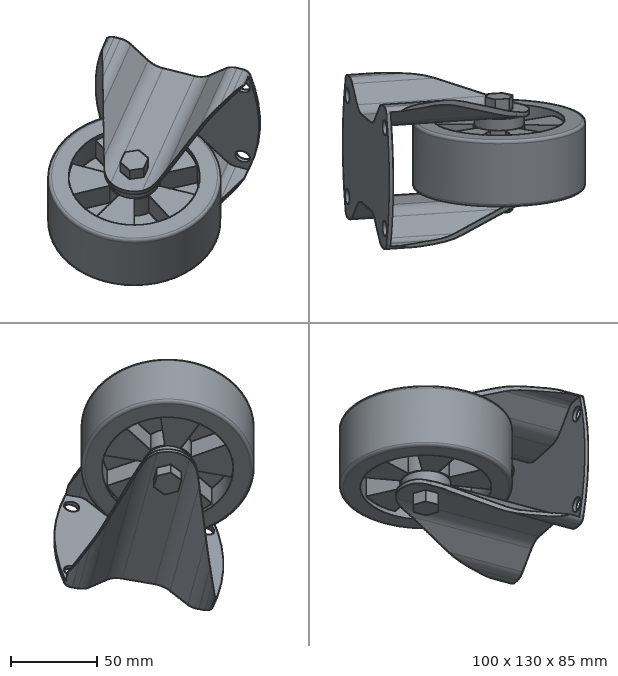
import cadquery as cq
import math


wheel_diameter = 100.0
wheel_width = 40.0
tread_edge_radius = 2.0
rim_bore_diameter = 75.9
spoke_recess = 3.0
spoke_width = wheel_width - 2 * spoke_recess
spoke_count = 5
spoke_pitch = 360 / spoke_count
spoke_angle = 37.4
first_spoke_angle = -90
web_thickness = 5.0
hub_diameter = 30.0
spacer_diameter = 29.0

overall_length = 130
sheet = 2.5
bracket_width = wheel_diameter
bracket_height = 85.0
leg_gap = 47.6
plate_side_radius = 130
plate_corner_radius = 4.8
leg_crest_half_width = 35.6
leg_web_half_width = 9.6
crest_bend_radius = 9.2
web_bend_radius = 13.1
leg_tip_radius = 17.4
leg_shoulder_x = 44.0
leg_shoulder_setback = 7.9

hole_diameter = 9.0
hole_spacing_x = 80.0
hole_spacing_z = 60.0
bolt_sides = 6
bolt_across_flats = 14.4
bolt_head_height = 7.7

plate_back_y = overall_length - wheel_diameter / 2
crest_z = bracket_height / 2
web_z = leg_gap / 2 + sheet
leg_length = plate_back_y + leg_tip_radius


def slope_angle():
    """Slope of the flank that joins the crest and web bends, found from their run and drop."""
    run = leg_crest_half_width - leg_web_half_width
    drop = crest_z - web_z
    radii = crest_bend_radius + web_bend_radius
    flank = math.sqrt(run**2 + drop**2 - 2 * radii * drop)
    return 2 * math.atan2(drop, run + flank)


def bend_points(inset):
    """Bend tangent points of the leg surface in the +X +Z quadrant, moved inward by inset."""
    angle = slope_angle()
    crest_radius = crest_bend_radius - inset
    web_radius = web_bend_radius + inset
    crest_height = crest_z - inset
    web_height = web_z - inset

    crest_end = (leg_crest_half_width, crest_height)
    flank_top = (
        leg_crest_half_width - crest_radius * math.sin(angle),
        crest_height - crest_radius * (1 - math.cos(angle)),
    )
    flank_bottom = (
        leg_web_half_width + web_radius * math.sin(angle),
        web_height + web_radius * (1 - math.cos(angle)),
    )
    web_end = (leg_web_half_width, web_height)
    return crest_end, flank_top, flank_bottom, web_end


def fork_prism(inset):
    """Prism along Y, from the leg tips to the back of the plate, bounded by the leg surfaces."""
    half_width = bracket_width / 2
    crest_radius = crest_bend_radius - inset
    web_radius = web_bend_radius + inset
    right = bend_points(inset)
    left = [(-x, z) for x, z in reversed(right)]
    half = (
        cq.Workplane("XZ", origin=(0, plate_back_y, 0))
        .moveTo(half_width, 0)
        .lineTo(half_width, crest_z - inset)
        .lineTo(*right[0])
        .radiusArc(right[1], -crest_radius)
        .lineTo(*right[2])
        .radiusArc(right[3], web_radius)
        .lineTo(*left[0])
        .radiusArc(left[1], web_radius)
        .lineTo(*left[2])
        .radiusArc(left[3], -crest_radius)
        .lineTo(-half_width, crest_z - inset)
        .lineTo(-half_width, 0)
        .close()
        .extrude(leg_length)
    )
    return half.union(half.mirror("XY"))


def bowed_sides():
    """Prism along Y with bowed +X and -X sides and rounded corners."""
    half_width = bracket_width / 2
    bow = plate_side_radius - math.sqrt(plate_side_radius**2 - crest_z**2)
    corner_x = half_width - bow
    return (
        cq.Workplane("XZ", origin=(0, plate_back_y, 0))
        .moveTo(-corner_x, crest_z)
        .lineTo(corner_x, crest_z)
        .threePointArc((half_width, 0), (corner_x, -crest_z))
        .lineTo(-corner_x, -crest_z)
        .threePointArc((-half_width, 0), (-corner_x, crest_z))
        .close()
        .extrude(leg_length)
        .edges("|Y")
        .fillet(plate_corner_radius)
    )


def leg_blank():
    """Tapered leg outline: straight sides that run tangent into the round tip at the axle."""
    shoulder_y = plate_back_y - leg_shoulder_setback
    shoulder_distance = math.hypot(leg_shoulder_x, shoulder_y)
    tangent_angle = math.atan2(shoulder_y, leg_shoulder_x) - math.acos(leg_tip_radius / shoulder_distance)
    tangent_x = leg_tip_radius * math.cos(tangent_angle)
    tangent_y = leg_tip_radius * math.sin(tangent_angle)
    half_width = bracket_width / 2
    return (
        cq.Workplane("XY", origin=(0, 0, -crest_z))
        .moveTo(-half_width, plate_back_y)
        .lineTo(-half_width, shoulder_y)
        .lineTo(-leg_shoulder_x, shoulder_y)
        .lineTo(-tangent_x, tangent_y)
        .threePointArc((0, -leg_tip_radius), (tangent_x, tangent_y))
        .lineTo(leg_shoulder_x, shoulder_y)
        .lineTo(half_width, shoulder_y)
        .lineTo(half_width, plate_back_y)
        .close()
        .extrude(bracket_height)
    )


def make_bracket():
    outer = fork_prism(0).intersect(bowed_sides()).intersect(leg_blank())
    inner = fork_prism(sheet).translate((0, -sheet, 0))
    holes = (
        cq.Workplane("XZ", origin=(0, plate_back_y, 0))
        .rect(hole_spacing_x, hole_spacing_z, forConstruction=True)
        .vertices()
        .circle(hole_diameter / 2)
        .extrude(sheet)
    )
    return outer.cut(inner).cut(holes)


def centred_cylinder(diameter, height):
    return cq.Workplane("XY", origin=(0, 0, -height / 2)).circle(diameter / 2).extrude(height)


def make_spoke(angle):
    """Wedge-shaped spoke from the axle into the rim, centred on the given angle."""
    mean_rim_diameter = (rim_bore_diameter + wheel_diameter) / 2
    outer_radius = mean_rim_diameter / 2
    half_angle = math.radians(spoke_angle / 2)
    corner_x = outer_radius * math.cos(half_angle)
    corner_y = outer_radius * math.sin(half_angle)
    return (
        cq.Workplane("XY", origin=(0, 0, -spoke_width / 2))
        .lineTo(corner_x, -corner_y)
        .threePointArc((outer_radius, 0), (corner_x, corner_y))
        .close()
        .extrude(spoke_width)
        .rotate((0, 0, 0), (0, 0, 1), angle)
    )


def make_wheel():
    """Rim with rounded tread edges, a thin closed web, recessed spokes, hub and axle spacers."""
    tread = centred_cylinder(wheel_diameter, wheel_width).edges("%CIRCLE").fillet(tread_edge_radius)
    wheel = tread.cut(centred_cylinder(rim_bore_diameter, wheel_width))

    wheel = wheel.union(centred_cylinder(rim_bore_diameter, web_thickness))
    for index in range(spoke_count):
        wheel = wheel.union(make_spoke(first_spoke_angle + index * spoke_pitch))

    hub = centred_cylinder(hub_diameter, spoke_width)
    spacers = centred_cylinder(spacer_diameter, leg_gap)
    return wheel.union(hub).union(spacers)


def make_bolt():
    """Hexagonal axle bolt with corners toward +Y and -Y, standing out of both legs."""
    across_corners = bolt_across_flats / math.cos(math.pi / bolt_sides)
    half_length = web_z + bolt_head_height
    return (
        cq.Workplane("XY", origin=(0, 0, -half_length))
        .polygon(bolt_sides, across_corners)
        .extrude(2 * half_length)
        .rotate((0, 0, 0), (0, 0, 1), 180 / bolt_sides)
    )


result = make_bracket().union(make_wheel()).union(make_bolt())